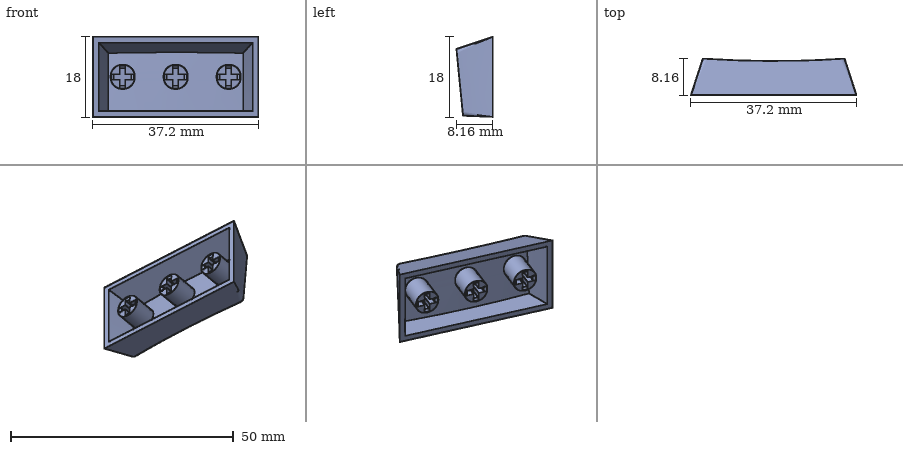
import cadquery as cq
import math

LENGTH = 37.15
HEIGHT = 18.0
DEPTH = 8.2
LOWER_DEPTH = 6.72
SIDE_TAPER = 2.65
TOP_TAPER = 2.75
BOTTOM_TAPER = 0.25
CORNER_RADIUS = 0.95
RIM_CORNER_RADIUS = 0.007
DISH_SAG = 0.55

WALL = 1.35
ROOF = 1.3
CAVITY_SIDE_TAPER = 2.15
CAVITY_TOP_TAPER = 2.38
CAVITY_BOTTOM_TAPER = 0.1

STEM_PITCH = 11.9
STEM_DIAMETER = 5.5
SLOT_WIDTH = 1.23
SLOT_LENGTH = 3.95
SLOT_DEPTH = 3.7
LEAD_IN_WIDTH = 0.55
LEAD_IN_DEPTH = 0.37

keytop_low_z = BOTTOM_TAPER
keytop_high_z = HEIGHT - TOP_TAPER
keytop_middle_z = (keytop_low_z + keytop_high_z) / 2
keytop_half_length = LENGTH / 2 - SIDE_TAPER
tilt_per_height = (DEPTH - LOWER_DEPTH) / (keytop_high_z - keytop_low_z)
tilt = math.degrees(math.atan(tilt_per_height))
dish_radius = (keytop_half_length**2 + DISH_SAG**2) / (2 * DISH_SAG)


def keytop_depth(z):
    """Y of the tilted keytop plane at height z."""
    return LOWER_DEPTH + (z - keytop_low_z) * tilt_per_height


def rim_plane():
    """Plane of the rim, centred on the part, facing -Y."""
    return cq.Plane(origin=(0, 0, HEIGHT / 2), xDir=(1, 0, 0), normal=(0, -1, 0))


def tilted_plane(z, offset=0.0):
    """Plane parallel to the keytop, moved towards the rim by offset along Y, centred at height z."""
    slope = math.radians(tilt)
    return cq.Plane(
        origin=(0, keytop_depth(z) - offset, z),
        xDir=(1, 0, 0),
        normal=(0, -math.cos(slope), math.sin(slope)),
    )


def tapered_block(rim_sketch, far_sketch, far_plane):
    """Ruled solid from a sketch on the rim to a sketch on a plane behind it."""
    return (
        cq.Workplane()
        .placeSketch(rim_sketch.moved(rim_plane().location), far_sketch.moved(far_plane.location))
        .loft(ruled=True)
    )


def outer_body():
    keytop_height = (keytop_high_z - keytop_low_z) / math.cos(math.radians(tilt))
    rim = cq.Sketch().rect(LENGTH, HEIGHT).vertices().fillet(RIM_CORNER_RADIUS)
    keytop = cq.Sketch().rect(2 * keytop_half_length, keytop_height).vertices().fillet(CORNER_RADIUS)
    return tapered_block(rim, keytop, tilted_plane(keytop_middle_z))


def space_behind_dish(offset):
    """Everything beyond the dish surface moved towards the rim by offset."""
    return (
        cq.Workplane(tilted_plane(keytop_middle_z))
        .transformed(rotate=(90, 0, 0))
        .center(0, DISH_SAG - dish_radius)
        .circle(dish_radius + offset)
        .extrude(LENGTH, both=True)
    )


def cavity():
    """Tapered pocket, cut off by a ceiling that follows the dish."""
    width = LENGTH - 2 * WALL
    height = HEIGHT - 2 * WALL
    far_low = WALL + CAVITY_BOTTOM_TAPER
    far_high = HEIGHT - WALL - CAVITY_TOP_TAPER
    far_height = (far_high - far_low) / math.cos(math.radians(tilt))
    mouth = cq.Sketch().rect(width, height)
    far_end = cq.Sketch().rect(width - 2 * CAVITY_SIDE_TAPER, far_height)
    far_plane = tilted_plane((far_low + far_high) / 2, ROOF)
    return tapered_block(mouth, far_end, far_plane).cut(space_behind_dish(ROOF))


def slot_arm():
    """One bar of the cross slot, with a sloped lead-in at both ends."""
    half_length = SLOT_LENGTH / 2
    half_mouth = half_length + LEAD_IN_WIDTH
    return (
        cq.Workplane("XY")
        .moveTo(-half_mouth, 0)
        .lineTo(half_mouth, 0)
        .lineTo(half_length, LEAD_IN_DEPTH)
        .lineTo(half_length, SLOT_DEPTH)
        .lineTo(-half_length, SLOT_DEPTH)
        .lineTo(-half_length, LEAD_IN_DEPTH)
        .close()
        .extrude(SLOT_WIDTH / 2, both=True)
    )


def stem():
    post = cq.Workplane("XZ").circle(STEM_DIAMETER / 2).extrude(-DEPTH)
    arm = slot_arm()
    return post.cut(arm).cut(arm.rotate((0, 0, 0), (0, 1, 0), 90))


body = outer_body().cut(space_behind_dish(0))
pocket = cavity()
result = body.cut(pocket)
for index in (-1, 0, 1):
    placed_stem = stem().translate((index * STEM_PITCH, 0, HEIGHT / 2))
    result = result.union(placed_stem.intersect(pocket))